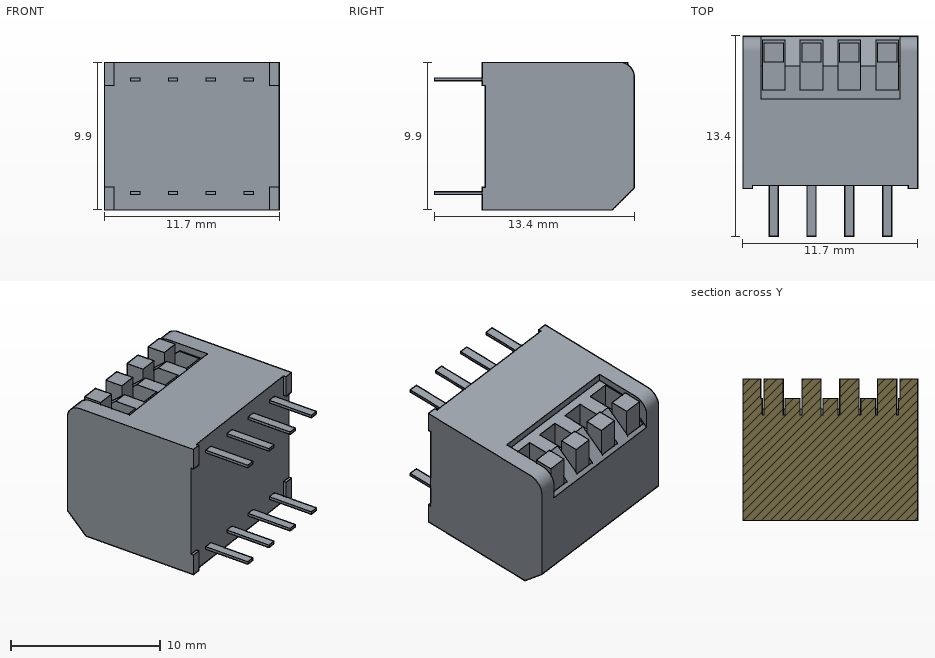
import cadquery as cq
import math


width = 11.72
height = 9.9
back_y = 6.7
total_length = 13.4
body_length = 10.0
front_y = back_y - body_length
back_fillet = 1.0
back_chamfer = 1.5

foot_width = 0.65
foot_height = 1.55
foot_length = 0.2

switch_count = 4
pitch = 2.53
switch_xs = [(i - (switch_count - 1) / 2) * pitch for i in range(switch_count)]

pin_width = 0.62
pin_thickness = 0.2
pin_row_spacing = 7.62
pin_length = total_length - body_length

recess_width = 9.3
recess_length = 4.22
recess_depth = 0.54
ramp_length = 2.01
ramp_angle = 40.0
ramp_drop = ramp_length * math.tan(math.radians(ramp_angle))

slot_width = 1.51
slot_length = 3.36
slot_back_gap = 0.25
slot_depth = 2.41
lever_size = 1.3
lever_back_gap = 0.44


def block(x, y_min, y_max, z_min, z_max, x_size):
    """Box centred on x, between the given Y and Z limits."""
    box = cq.Workplane("XY").box(x_size, y_max - y_min, z_max - z_min, centered=(True, False, False))
    return box.translate((x, y_min, z_min))


def make_housing():
    housing = block(0, front_y, back_y, 0, height, width)
    housing = housing.edges("|X and >Y and >Z").fillet(back_fillet)
    return housing.edges("|X and >Y and <Z").chamfer(back_chamfer)


def make_recess():
    """Recess volume: a flat floor, then a ramp falling towards the back."""
    floor_z = height - recess_depth
    return (
        cq.Workplane("YZ")
        .moveTo(back_y - recess_length, height)
        .lineTo(back_y - recess_length, floor_z)
        .lineTo(back_y - ramp_length, floor_z)
        .lineTo(back_y, floor_z - ramp_drop)
        .lineTo(back_y, height)
        .close()
        .extrude(recess_width / 2, both=True)
    )


def make_slot(x):
    slot_back = back_y - slot_back_gap
    return block(x, slot_back - slot_length, slot_back, height - slot_depth, height, slot_width)


def make_lever(x):
    lever_back = back_y - lever_back_gap
    return block(x, lever_back - lever_size, lever_back, height - slot_depth, height, lever_size)


def make_foot(x_side, z_min):
    x = x_side * (width - foot_width) / 2
    return block(x, front_y - foot_length, front_y, z_min, z_min + foot_height, foot_width)


def make_pin(x, z):
    half = pin_thickness / 2
    return block(x, front_y - pin_length, front_y, z - half, z + half, pin_width)


result = make_housing().cut(make_recess())

for switch_x in switch_xs:
    result = result.cut(make_slot(switch_x))
    result = result.union(make_lever(switch_x))
    for row in (-1, 1):
        pin_z = height / 2 + row * pin_row_spacing / 2
        result = result.union(make_pin(switch_x, pin_z))

for side in (-1, 1):
    for foot_z in (0, height - foot_height):
        result = result.union(make_foot(side, foot_z))